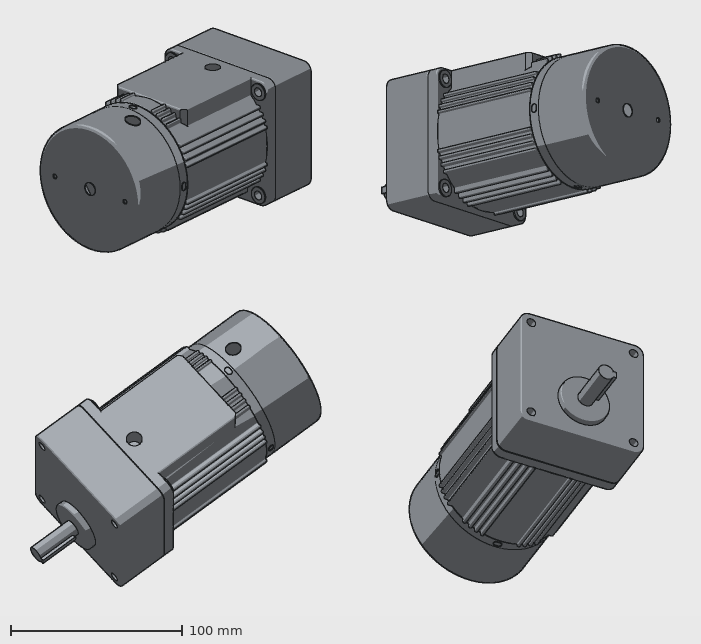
import cadquery as cq
import math


frame = 80.0
corner_radius = 6.0
edge_fillet = 1.0

gearbox_length = 32.5
boss_diameter = 32.0
boss_length = 4.0
shaft_diameter = 10.0
shaft_length = 32.0
shaft_drop = 15.0
key_width = 4.0
key_length = 25.0
key_height = 6.5
key_end_radius = 0.99 * key_width / 2

bolt_circle = 94.0
bolt_diameter = 5.5
pad_diameter = 10.4
pad_height = 0.9

flange_thickness = 7.1
motor_length = 78.0
motor_radius = 39.7

fin_count = 4
fin_width = 2.2
fin_pitch = 3.8
first_fin = 11.9
fin_tip_radius = 41.5
fin_root_depth = 5.0
root_fillet = 0.4
body_end_fillet = 0.5

box_width = 54.0
box_end = 99.5
box_corner_chamfer = 3.0
box_foot_fillet = 0.5
cable_hole_diameter = 9.2
cable_hole_depth = 12.0
cable_hole_y = -42.5

cover_length = 42.0
cover_radius = 39.5
cover_wall = 0.5
cover_fillet = 2.0
spigot_length = 6.4
slot_length = 5.2
slot_width = 3.4
slot_offset = 3.3
lead_hole_diameter = 9.2
lead_hole_x = 10.0
lead_hole_offset = 15.2
centre_hole_diameter = 8.0
screw_hole_diameter = 2.2
screw_countersink = 0.4
screw_hole_x = 27.0

on_surface = 0.01

half_frame = frame / 2
bolt_offset = bolt_circle / 2 * math.cos(math.radians(45))
bolt_points = [(x, z) for x in (-bolt_offset, bolt_offset) for z in (-bolt_offset, bolt_offset)]
joint_front = -gearbox_length
flange_rear = joint_front - flange_thickness
joint_rear = joint_front - motor_length
cover_rear = joint_rear - cover_length
spigot_radius = cover_radius - cover_wall


def section_at(y):
    """Sketch plane across the motor axis: local x is X, local y is Z, extrudes toward -Y."""
    return cq.Workplane("XZ", origin=(0, y, 0))


def square_block(y, length):
    return section_at(y).rect(frame, frame).extrude(length).edges("|Y").fillet(corner_radius)


def quarter_turns(shape):
    """The shape in four places, a quarter turn apart around the motor axis."""
    return [shape.rotate((0, 0, 0), (0, 1, 0), quarter * 90) for quarter in range(4)]


def make_gearbox():
    case = square_block(0, gearbox_length).faces("<Y or >Y").edges().fillet(edge_fillet)
    boss = section_at(boss_length).center(0, -shaft_drop).circle(boss_diameter / 2).extrude(boss_length)
    boss = boss.faces(">Y").edges().fillet(edge_fillet)
    shaft = section_at(shaft_length).center(0, -shaft_drop).circle(shaft_diameter / 2).extrude(shaft_length)
    key_face = cq.Workplane("YZ", origin=(-key_height, shaft_length - key_length / 2, -shaft_drop))
    key = key_face.rect(key_length, key_width).extrude(key_height)
    key = key.edges("|X and <Y").fillet(key_end_radius)
    bolt_holes = section_at(0).pushPoints(bolt_points).circle(bolt_diameter / 2).extrude(gearbox_length)
    return case.union(boss).union(shaft).union(key).cut(bolt_holes)


def lies_on_body(edge):
    centre = edge.Center()
    return abs(math.hypot(centre.x, centre.z) - motor_radius) < on_surface


def make_fin(z, length):
    """Round-nosed fin pointing to +X, centred at height z, rooted inside the round body."""
    nose_x = math.sqrt(fin_tip_radius ** 2 - z ** 2) - fin_width / 2
    root_x = nose_x - fin_root_depth
    plane = section_at(flange_rear)
    web = plane.center((nose_x + root_x) / 2, z).rect(nose_x - root_x, fin_width).extrude(length)
    nose = section_at(flange_rear).center(nose_x, z).circle(fin_width / 2).extrude(length)
    return web.union(nose)


def make_finned_body(length):
    body = section_at(flange_rear).circle(motor_radius).extrude(length)
    for i in range(fin_count):
        for side in (-1, 1):
            fin = make_fin(side * (first_fin + i * fin_pitch), length)
            for turned_fin in quarter_turns(fin):
                body = body.union(turned_fin)
    fin_roots = [edge for edge in body.edges("|Y").vals() if lies_on_body(edge)]
    body = body.newObject(fin_roots).fillet(root_fillet)
    return body.faces("<Y").edges().fillet(body_end_fillet)


def make_terminal_box():
    length = box_end + joint_front
    box = section_at(joint_front).center(0, half_frame / 2).rect(box_width, half_frame).extrude(length)
    box = box.faces(">Z").edges("not >Y").fillet(edge_fillet)
    corner = box_corner_chamfer
    cutter = cq.Workplane("XY", origin=(0, -box_end, 0))
    for side in (-1, 1):
        edge_x = side * box_width / 2
        triangle = cutter.polyline([(edge_x, 0), (edge_x - side * corner, 0), (edge_x, corner)]).close()
        box = box.cut(triangle.extrude(half_frame))
    return box


def is_box_foot(edge):
    centre = edge.Center()
    on_box_side = abs(abs(centre.x) - box_width / 2) < on_surface
    return lies_on_body(edge) and on_box_side and centre.z > 0


def make_motor():
    flange = square_block(joint_front, flange_thickness).faces("<Y").edges().fillet(edge_fillet)
    body = make_finned_body(motor_length - flange_thickness)
    motor = flange.union(body).union(make_terminal_box())
    box_feet = [edge for edge in motor.edges("|Y").vals() if is_box_foot(edge)]
    motor = motor.newObject(box_feet).fillet(box_foot_fillet)

    pads = section_at(flange_rear + pad_height).pushPoints(bolt_points)
    pads = pads.circle(pad_diameter / 2).extrude(2 * pad_height)
    spigot = section_at(joint_rear).circle(spigot_radius).extrude(spigot_length)
    bolt_holes = section_at(joint_front).pushPoints(bolt_points).circle(bolt_diameter / 2)
    bolt_holes = bolt_holes.extrude(flange_thickness + pad_height)
    cable_hole = cq.Workplane("XY", origin=(0, cable_hole_y, half_frame - cable_hole_depth))
    cable_hole = cable_hole.circle(cable_hole_diameter / 2).extrude(cable_hole_depth)
    return motor.union(pads).union(spigot).cut(bolt_holes).cut(cable_hole)


def make_cover():
    cover = section_at(joint_rear).circle(cover_radius).extrude(cover_length)
    cover = cover.faces("<Y").edges().fillet(cover_fillet)
    cavity = section_at(joint_rear).circle(spigot_radius).extrude(cover_length - cover_wall)
    cavity = cavity.faces("<Y").edges().fillet(cover_fillet - cover_wall)
    cover = cover.cut(cavity)

    slot = cq.Workplane("XY", origin=(0, joint_rear - slot_offset, 0))
    slot = slot.slot2D(slot_length, slot_width).extrude(frame)
    for turned_slot in quarter_turns(slot):
        cover = cover.cut(turned_slot)

    lead_hole = cq.Workplane("XY", origin=(lead_hole_x, joint_rear - lead_hole_offset, 0))
    cover = cover.cut(lead_hole.circle(lead_hole_diameter / 2).extrude(frame))

    back = section_at(cover_rear + cover_wall)
    screw_points = [(-screw_hole_x, 0), (screw_hole_x, 0)]
    cover = cover.cut(back.circle(centre_hole_diameter / 2).extrude(cover_wall))
    screw_holes = back.pushPoints(screw_points).circle(screw_hole_diameter / 2).extrude(cover_wall)
    rim = section_at(cover_rear).pushPoints(screw_points)
    countersinks = rim.circle(screw_hole_diameter / 2 + screw_countersink).extrude(-screw_countersink, taper=45)
    return cover.cut(screw_holes).cut(countersinks)


gearbox = make_gearbox()
motor = make_motor()
cover = make_cover()
result = cq.Compound.makeCompound([gearbox.val(), motor.val(), cover.val()])